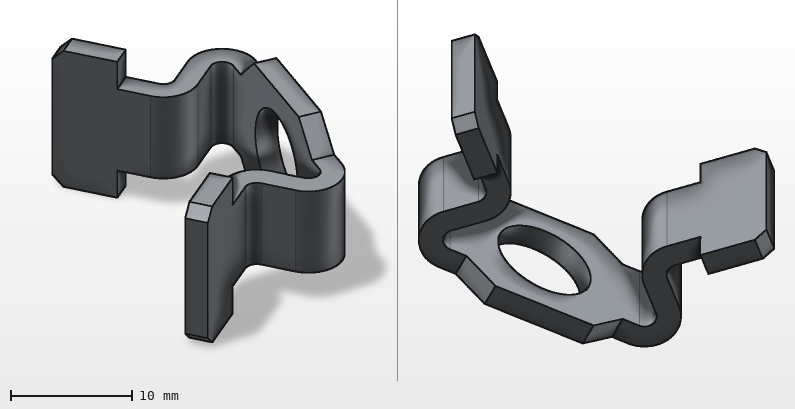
import cadquery as cq
import math

half_length = 14.8
plate_height = 13.3
thickness = 2.0

hole_diameter = 8.5
octagon_chamfer = 2.66
octagon_half_length = 7.17

strip_height = plate_height - 2 * octagon_chamfer
inner_radius = 1.0
outer_radius = inner_radius + thickness
web_half_length = 8.68
neck_length = 3.02

head_length = 5.75
head_chamfer = 1.0

SIN_45 = math.sin(math.radians(45))


def polar(center, radius, degrees):
    """Point at a distance and angle from a center in the XY plane."""
    angle = math.radians(degrees)
    return (center[0] + radius * math.cos(angle), center[1] + radius * math.sin(angle))


first_bend = (-web_half_length, -outer_radius)
neck_top = polar(first_bend, outer_radius + inner_radius, 225)
second_bend = polar(neck_top, neck_length, 315)

leg_root_outer = polar(second_bend, inner_radius, 315)
leg_root_inner = polar(second_bend, outer_radius, 315)
leg_length = (half_length + leg_root_outer[0]) / SIN_45
tip_outer = polar(leg_root_outer, leg_length, 225)
tip_inner = polar(leg_root_inner, leg_length, 225)


def make_plate():
    """Octagonal plate in the XZ plane with a central hole."""
    return (
        cq.Workplane("XZ")
        .rect(2 * octagon_half_length, plate_height)
        .extrude(thickness)
        .edges("|Y")
        .chamfer(octagon_chamfer)
        .cut(cq.Workplane("XZ").circle(hole_diameter / 2).extrude(thickness))
    )


def make_strip():
    """Left arm: web end, 135 degree bend, neck, 90 degree bend back and leg."""
    return (
        cq.Workplane("XY")
        .workplane(offset=-strip_height / 2)
        .moveTo(-octagon_half_length, 0)
        .lineTo(-web_half_length, 0)
        .threePointArc(polar(first_bend, outer_radius, 157.5), polar(first_bend, outer_radius, 225))
        .lineTo(*polar(second_bend, inner_radius, 45))
        .threePointArc(polar(second_bend, inner_radius, 0), leg_root_outer)
        .lineTo(*tip_outer)
        .lineTo(*tip_inner)
        .lineTo(*leg_root_inner)
        .threePointArc(polar(second_bend, outer_radius, 0), polar(second_bend, outer_radius, 45))
        .lineTo(*polar(first_bend, inner_radius, 225))
        .threePointArc(polar(first_bend, inner_radius, 157.5), polar(first_bend, inner_radius, 90))
        .lineTo(-octagon_half_length, -thickness)
        .close()
        .extrude(strip_height)
    )


def make_head():
    """Wide head along the end of the left leg, with its tip corners cut off."""
    half_height = plate_height / 2
    leg_plane = cq.Plane(
        origin=(tip_inner[0], tip_inner[1], 0),
        xDir=(1, 1, 0),
        normal=(-1, 1, 0),
    )
    return (
        cq.Workplane(leg_plane)
        .moveTo(head_chamfer, half_height)
        .lineTo(head_length, half_height)
        .lineTo(head_length, -half_height)
        .lineTo(head_chamfer, -half_height)
        .lineTo(0, head_chamfer - half_height)
        .lineTo(0, half_height - head_chamfer)
        .close()
        .extrude(thickness)
    )


left_arm = make_strip().union(make_head())
right_arm = left_arm.mirror("YZ")
result = make_plate().union(left_arm).union(right_arm)